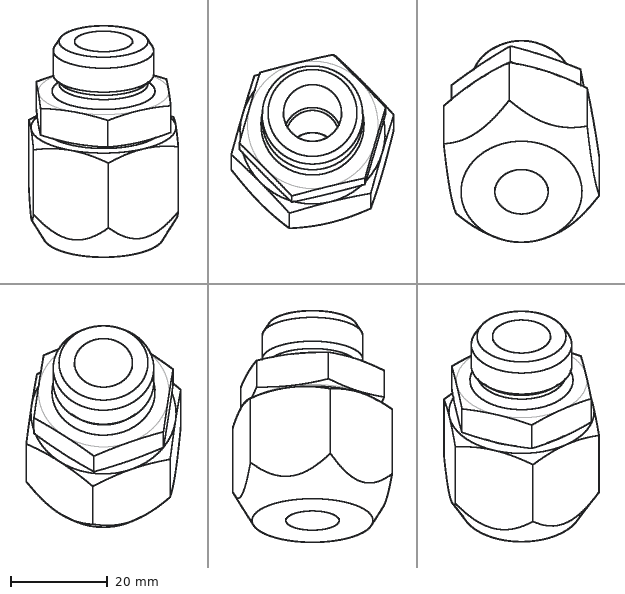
import cadquery as cq
import math

nut_top = 24.0
body_hex_bottom = 25.0
body_hex_top = 32.0
neck_bottom = 33.63
neck_top = 34.57
thread_bottom = 35.75
thread_top = 41.02
total_height = 43.0

nut_flats = 30.0
body_flats = 27.0
nut_chamfer_angle = 30.0
body_chamfer_angle = 15.0
cos_30 = math.cos(math.radians(30))

nut_base_diameter = 25.03
nut_cone_angle = 30.0

collar_diameter = 24.6
seat_diameter = 21.33
neck_diameter = 18.4
thread_diameter = 20.8
bore_diameter = 11.0
upper_bore_diameter = 12.0
upper_bore_depth = 21.5


def hexagon(flats, bottom, top):
    """Hexagonal prism with two corners on the Y axis."""
    prism = cq.Workplane("XY").polygon(6, flats / cos_30).extrude(top - bottom)
    return prism.rotate((0, 0, 0), (0, 0, 1), 30).translate((0, 0, bottom))


def revolved(profile):
    """Solid of revolution about Z from (radius, height) points."""
    return cq.Workplane("XZ").polyline(profile).close().revolve(360, (0, 0), (0, 1))


def corner_drop(flats, angle):
    """Height of the corner chamfer on a hexagon, starting at its inscribed circle."""
    return (flats / cos_30 - flats) / 2 * math.tan(math.radians(angle))


def make_nut():
    corner_radius = nut_flats / cos_30 / 2
    base_radius = nut_base_diameter / 2
    cone_height = (corner_radius - base_radius) / math.tan(math.radians(nut_cone_angle))
    envelope = revolved([
        (0, 0),
        (base_radius, 0),
        (corner_radius, cone_height),
        (corner_radius, nut_top - corner_drop(nut_flats, nut_chamfer_angle)),
        (nut_flats / 2, nut_top),
        (0, nut_top),
    ])
    return hexagon(nut_flats, 0, nut_top).intersect(envelope)


def make_body_hexagon():
    corner_radius = body_flats / cos_30 / 2
    drop = corner_drop(body_flats, body_chamfer_angle)
    envelope = revolved([
        (0, body_hex_bottom),
        (body_flats / 2, body_hex_bottom),
        (corner_radius, body_hex_bottom + drop),
        (corner_radius, body_hex_top - drop),
        (body_flats / 2, body_hex_top),
        (0, body_hex_top),
    ])
    return hexagon(body_flats, body_hex_bottom, body_hex_top).intersect(envelope)


def make_core():
    """Collar between the hexagons, sealing cone, undercut neck and threaded end."""
    return revolved([
        (0, nut_top),
        (collar_diameter / 2, nut_top),
        (collar_diameter / 2, body_hex_bottom),
        (seat_diameter / 2, body_hex_bottom),
        (seat_diameter / 2, body_hex_top),
        (neck_diameter / 2, neck_bottom),
        (neck_diameter / 2, neck_top),
        (thread_diameter / 2, thread_bottom),
        (thread_diameter / 2, thread_top),
        (neck_diameter / 2, total_height),
        (0, total_height),
    ])


def make_bore():
    """Through bore that widens over a 45 degree cone to the upper bore."""
    bore_radius = bore_diameter / 2
    upper_radius = upper_bore_diameter / 2
    cone_top = total_height - upper_bore_depth
    cone_bottom = cone_top - (upper_radius - bore_radius)
    return revolved([
        (0, 0),
        (bore_radius, 0),
        (bore_radius, cone_bottom),
        (upper_radius, cone_top),
        (upper_radius, total_height),
        (0, total_height),
    ])


result = make_nut().union(make_core()).union(make_body_hexagon()).cut(make_bore())